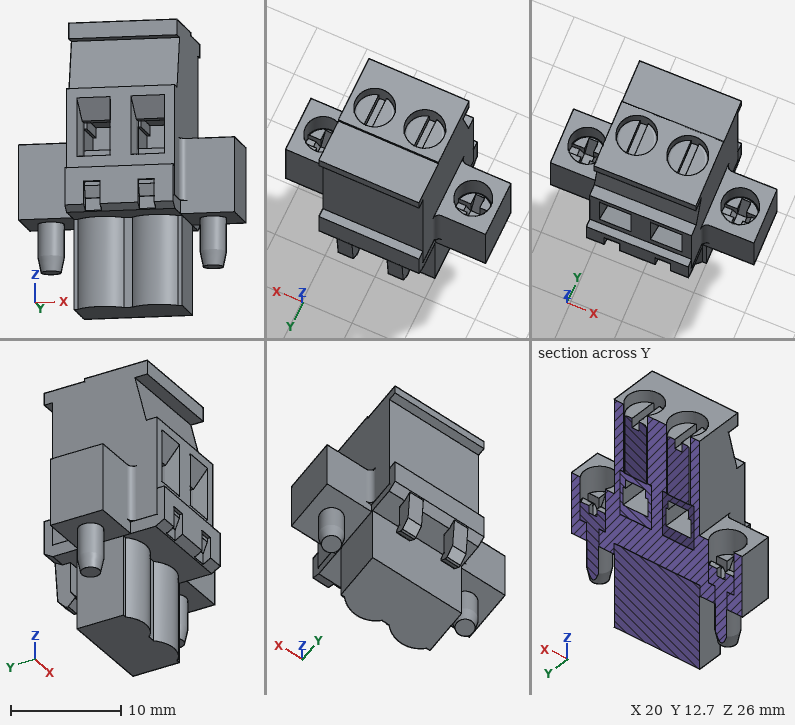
import cadquery as cq


total_width = 20.0
total_height = 26.0
body_width = 10.0
pitch = body_width / 2
pole_centers = [-pitch / 2, pitch / 2]
flange_spacing = (total_width + body_width) / 2
flange_centers = [-flange_spacing / 2, flange_spacing / 2]

housing_half_depth = 5.5
housing_bottom = 9.55
cap_back = 6.37
cap_front = -4.5
cap_step_y = 2.13
cap_step_drop = 0.29
cap_back_bottom = 24.47
cap_front_bottom = 24.55
slope_top_y = -3.2
shelf_y = -4.4
shelf_z = 19.73

flange_depth = 5.5
flange_bottom = 8.32
flange_top = 15.25
flange_fillet = 0.6

entry_width = 3.1
entry_bottom = 13.45
entry_top = 18.85
throat_width = 2.63
throat_bottom = 13.7
throat_top = 16.95
throat_front = -4.15
throat_back = -3.2

clamp_screw_y = -0.35
clamp_hole_diameter = 3.8
clamp_screw_diameter = 3.7
clamp_screw_top = 24.83
clamp_screw_round = 0.25
clamp_slot_width = 0.78
clamp_slot_depth = 1.05

cage_front = -2.73
cage_back = 2 * clamp_screw_y - cage_front
cage_width = 3.65
cage_bottom = 13.25
cage_top = 18.2
cage_back_wall = 0.52
window_width = 2.85
window_bottom = 14.48
window_shoulder = 16.48
window_neck_width = 2.31
window_top = 17.42

base_bottom = flange_bottom
base_front = -6.3
base_back = cap_back
skirt_top = 12.27
base_chamfer_depth = 0.9
base_chamfer_height = 0.52
socket_back = 2.9
socket_front = -1.98
barrel_width = 4.2
barrel_bulge = 0.9

hook_top = base_bottom + base_chamfer_height
hook_back_top = 6.27
hook_back_bottom = 5.98
hook_inner_face = 4.63
hook_nose_y = 4.15
hook_nose_top = 5.25
hook_nose_upper = 4.63
hook_nose_lower = 4.47
hook_tip_z = 3.77
hook_tip_back = 5.12
hook_tip_front = 4.85
hook_width = 1.5

slot_width = 1.5
slot_top = 10.97
slot_slope_top = 10.6
slot_slope_bottom = 9.52
slot_lip_y = -5.95
slot_back = -housing_half_depth

head_diameter = 3.5
head_top = 12.48
head_bottom = 10.4
head_chamfer = 0.1
pin_diameter = 2.4
pin_tip_diameter = 1.82
pin_cone_top = 5.23
pin_bottom = 3.85
recess_arm_width = 0.88
recess_top_length = 2.96
recess_bottom_length = 0.94
recess_depth = 1.66
driver_slot_depth = 0.9


def block(x_center, width, y_min, y_max, z_min, z_max):
    """Axis-aligned box given by its X center and width and its Y and Z limits."""
    box = cq.Workplane("XY").box(width, y_max - y_min, z_max - z_min, centered=(True, False, False))
    return box.translate((x_center, y_min, z_min))


def cylinder(x, y, diameter, z_min, z_max):
    """Upright cylinder between two heights."""
    return cq.Workplane("XY", origin=(x, y, z_min)).circle(diameter / 2).extrude(z_max - z_min)


def side_extrusion(points, x_center, width):
    """Outline of (Y, Z) points extruded along X, centered on x_center."""
    outline = cq.Workplane("YZ", origin=(x_center, 0, 0)).polyline(points).close()
    return outline.extrude(width / 2, both=True)


def test_slot(x):
    """Slot open to the front and bottom, with a roof that slopes down to the floor edge."""
    return side_extrusion(
        [
            (base_front, base_bottom),
            (slot_back, base_bottom),
            (slot_back, slot_slope_bottom),
            (slot_lip_y, slot_slope_top),
            (slot_lip_y, slot_top),
            (base_front, slot_top),
        ],
        x,
        slot_width,
    )


def wire_entry(x):
    """Tapered funnel followed by the straight throat."""
    entry_height = entry_top - entry_bottom
    throat_height = throat_top - throat_bottom
    entry_z = (entry_top + entry_bottom) / 2
    throat_z = (throat_top + throat_bottom) / 2
    funnel = (
        cq.Workplane("XZ", origin=(x, -housing_half_depth, entry_z))
        .rect(entry_width, entry_height)
        .workplane(offset=-(throat_front + housing_half_depth))
        .center(0, throat_z - entry_z)
        .rect(throat_width, throat_height)
        .loft(ruled=True)
    )
    throat = block(x, throat_width, throat_front, throat_back, throat_bottom, throat_top)
    return funnel.union(throat)


def flange_pair():
    """Both screw flanges, with concave fillets where they meet the housing ends."""
    half_depth = flange_depth / 2
    web_half_width = body_width / 2 + flange_fillet
    web_half_depth = half_depth + flange_fillet
    flanges = block(0, total_width, -half_depth, half_depth, flange_bottom, flange_top)
    web = block(0, 2 * web_half_width, -web_half_depth, web_half_depth, housing_bottom, flange_top)
    for x in (-web_half_width, web_half_width):
        for y in (-web_half_depth, web_half_depth):
            web = web.cut(cylinder(x, y, 2 * flange_fillet, housing_bottom, flange_top))
    base_space = block(0, body_width, -half_depth, half_depth, flange_bottom, housing_bottom)
    return flanges.union(web).cut(base_space)


def make_housing():
    """Upper housing with wire entries, clamp chambers, screw holes and flanges."""
    body = side_extrusion(
        [
            (housing_half_depth, housing_bottom),
            (housing_half_depth, cap_back_bottom),
            (cap_back, cap_back_bottom),
            (cap_back, total_height - cap_step_drop),
            (cap_step_y, total_height - cap_step_drop),
            (cap_step_y, total_height),
            (cap_front, total_height),
            (cap_front, cap_front_bottom),
            (slope_top_y, cap_front_bottom),
            (shelf_y, shelf_z),
            (-housing_half_depth, shelf_z),
            (-housing_half_depth, housing_bottom),
        ],
        0,
        body_width,
    )
    body = body.union(flange_pair())
    for x in pole_centers:
        body = body.cut(wire_entry(x))
        body = body.cut(block(x, cage_width, throat_back, cage_back, cage_bottom, cage_top))
        body = body.cut(cylinder(x, clamp_screw_y, clamp_hole_diameter, cage_top, total_height))
    for x in flange_centers:
        body = body.cut(cylinder(x, 0, pin_diameter, flange_bottom, head_bottom))
        body = body.cut(cylinder(x, 0, head_diameter, head_bottom, flange_top))
    return body


def latch_hook(x):
    """Latch arm hanging from the back of the base, with its nose toward the socket block."""
    return side_extrusion(
        [
            (hook_back_top, hook_top),
            (hook_back_bottom, hook_nose_upper),
            (hook_tip_back, hook_tip_z),
            (hook_tip_front, hook_tip_z),
            (hook_nose_y, hook_nose_lower),
            (hook_nose_y, hook_nose_upper),
            (hook_inner_face, hook_nose_top),
            (hook_inner_face, hook_top),
        ],
        x,
        hook_width,
    )


def make_base():
    """Skirted floor that carries the housing, with the socket block and the latch hooks."""
    chamfer_z = base_bottom + base_chamfer_height
    base = side_extrusion(
        [
            (base_front, skirt_top),
            (base_front, chamfer_z),
            (base_front + base_chamfer_depth, base_bottom),
            (base_back - base_chamfer_depth, base_bottom),
            (base_back, chamfer_z),
            (base_back, skirt_top),
            (housing_half_depth, skirt_top),
            (housing_half_depth, housing_bottom),
            (-housing_half_depth, housing_bottom),
            (-housing_half_depth, skirt_top),
        ],
        0,
        body_width,
    )
    base = base.union(block(0, body_width, socket_front, socket_back, 0, base_bottom))
    for x in pole_centers:
        barrel = (
            cq.Workplane("XY")
            .moveTo(x - barrel_width / 2, socket_front)
            .threePointArc((x, socket_front - barrel_bulge), (x + barrel_width / 2, socket_front))
            .close()
            .extrude(base_bottom)
        )
        base = base.union(barrel).union(latch_hook(x)).cut(test_slot(x))
    return base


def make_cage(x):
    """Metal clamp block with a stepped window toward the wire entry."""
    cage = block(x, cage_width, cage_front, cage_back, cage_bottom, cage_top)
    window_back = cage_back - cage_back_wall
    window = block(x, window_width, cage_front, window_back, window_bottom, window_shoulder)
    neck = block(x, window_neck_width, cage_front, window_back, window_shoulder, window_top)
    return cage.cut(window).cut(neck)


def make_clamp_screw(x):
    """Slotted screw standing on its cage."""
    screw = cylinder(x, clamp_screw_y, clamp_screw_diameter, cage_top, clamp_screw_top)
    screw = screw.faces(">Z").edges().fillet(clamp_screw_round)
    radius = clamp_screw_diameter / 2
    slot_bottom = clamp_screw_top - clamp_slot_depth
    return screw.cut(
        block(x, clamp_slot_width, clamp_screw_y - radius, clamp_screw_y + radius, slot_bottom, clamp_screw_top)
    )


def make_flange_screw(x):
    """Screw with a tapered pin and a head that has a slot crossed by a tapered cross recess."""
    head = cylinder(x, 0, head_diameter, head_bottom, head_top).faces(">Z").chamfer(head_chamfer)
    shank = (
        cq.Workplane("XZ", origin=(x, 0, 0))
        .polyline(
            [
                (0, head_bottom),
                (pin_diameter / 2, head_bottom),
                (pin_diameter / 2, pin_cone_top),
                (pin_tip_diameter / 2, pin_bottom),
                (0, pin_bottom),
            ]
        )
        .close()
        .revolve(360, (0, 0, 0), (0, 1, 0))
    )
    recess_bottom = head_top - recess_depth
    arm = side_extrusion(
        [
            (-recess_top_length / 2, head_top),
            (recess_top_length / 2, head_top),
            (recess_bottom_length / 2, recess_bottom),
            (-recess_bottom_length / 2, recess_bottom),
        ],
        0,
        recess_arm_width,
    )
    cross_arm = arm.rotate((0, 0, 0), (0, 0, 1), 90)
    half_arm = recess_arm_width / 2
    slot = block(0, head_diameter, -half_arm, half_arm, head_top - driver_slot_depth, head_top)
    recess = arm.union(cross_arm).union(slot).translate((x, 0, 0))
    return head.union(shank).cut(recess)


housing = make_housing()
base = make_base()
cages = [make_cage(x) for x in pole_centers]
clamp_screws = [make_clamp_screw(x) for x in pole_centers]
flange_screws = [make_flange_screw(x) for x in flange_centers]

bodies = [housing, base, *cages, *clamp_screws, *flange_screws]
result = cq.Compound.makeCompound([body.val() for body in bodies])